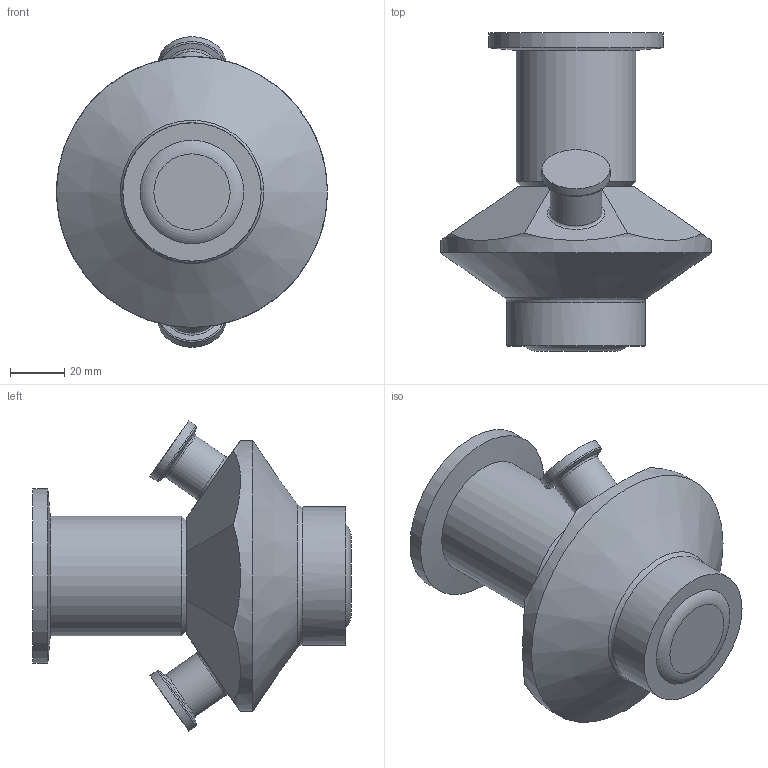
import cadquery as cq
import math

slope_angle = 35.0
slope_rise = math.tan(math.radians(slope_angle))

boss_radius = 50.8 / 2
cap_radius = 38.0 / 2
cap_flat_radius = 28.0 / 2
cap_height = 1.95
boss_fillet = 2.2

rim_radius = 99.5 / 2
rim_front = 34.2
rim_width = 4.5
facet_count = 8
facet_end_apothem = 21.6
cone_front = rim_front - (rim_radius - boss_radius) * slope_rise
rim_back = rim_front + rim_width
facet_end = rim_back + (rim_radius - facet_end_apothem) * slope_rise

pipe_radius = 44.0 / 2
pipe_chamfer = 2.0
flange_radius = 64.0 / 2
flange_face = 115.0
flange_rim_width = 5.5
flange_back_angle = 5.5
flange_back = flange_face - flange_rim_width
flange_root = flange_back - (flange_radius - pipe_radius) * math.tan(math.radians(flange_back_angle))

port_radius = 19.0 / 2
port_flange_radius = 25.0 / 2
port_length = 19.7
port_offset = 17.4
port_rim_width = 3.6
port_back_taper = 1.0
port_base_fillet = 1.0
port_rim_fillet = 0.6
port_root_fillet = 0.9
port_embed = 2.0


def circle_at(y):
    """Selector of the edges centred on the plane at y, square to the Y axis."""
    half_slab = 0.05
    return cq.selectors.BoxSelector(
        (-rim_radius, y - half_slab, -rim_radius),
        (rim_radius, y + half_slab, rim_radius),
    )


def make_front_cone_and_boss():
    """Domed cap, boss and front cone, revolved about the Y axis."""
    cap_run = cap_radius - cap_flat_radius
    dome_radius = (cap_run**2 + cap_height**2) / (2 * cap_height)
    profile = (
        cq.Workplane("XY")
        .moveTo(0, -cap_height)
        .lineTo(cap_flat_radius, -cap_height)
        .radiusArc((cap_radius, 0), -dome_radius)
        .lineTo(boss_radius, 0)
        .lineTo(boss_radius, cone_front)
        .lineTo(rim_radius, rim_front)
        .lineTo(0, rim_front)
        .close()
    )
    front = profile.revolve(360, (0, 0, 0), (0, 1, 0))
    return front.edges(circle_at(cone_front)).fillet(boss_fillet)


def make_faceted_back():
    """Octagonal pyramid trimmed by the rim cylinder, with facets facing X and Z."""
    height = facet_end - rim_front
    base_apothem = facet_end_apothem + height / slope_rise
    base_corner_radius = base_apothem / math.cos(math.pi / facet_count)
    half_facet = 180 / facet_count
    pyramid = (
        cq.Workplane("XZ", origin=(0, rim_front, 0))
        .transformed(rotate=(0, 0, half_facet))
        .polygon(facet_count, 2 * base_corner_radius)
        .extrude(-height, taper=90 - slope_angle)
    )
    rim = cq.Workplane("XZ", origin=(0, rim_front, 0)).circle(rim_radius).extrude(-height)
    return pyramid.intersect(rim)


def make_pipe_and_flange():
    """Main pipe, chamfered where it meets the body, with its taper-backed flange."""
    return (
        cq.Workplane("XY")
        .moveTo(0, facet_end)
        .lineTo(pipe_radius - pipe_chamfer, facet_end)
        .lineTo(pipe_radius, facet_end + pipe_chamfer)
        .lineTo(pipe_radius, flange_root)
        .lineTo(flange_radius, flange_back)
        .lineTo(flange_radius, flange_face)
        .lineTo(0, flange_face)
        .close()
        .revolve(360, (0, 0, 0), (0, 1, 0))
    )


def make_port():
    """Upper port: flanged stub with a flared base, square to the facet facing +Z."""
    port_rim_back = port_length - port_rim_width
    stub = (
        cq.Workplane("XY")
        .moveTo(0, -port_embed)
        .lineTo(port_radius + port_base_fillet, -port_embed)
        .lineTo(port_radius + port_base_fillet, 0)
        .radiusArc((port_radius, port_base_fillet), port_base_fillet)
        .lineTo(port_radius, port_rim_back - port_back_taper)
        .lineTo(port_flange_radius, port_rim_back)
        .lineTo(port_flange_radius, port_length)
        .lineTo(0, port_length)
        .close()
        .revolve(360, (0, 0, 0), (0, 1, 0))
    )
    stub = stub.edges(circle_at(port_rim_back)).fillet(port_rim_fillet)
    stub = stub.edges(circle_at(port_rim_back - port_back_taper)).fillet(port_root_fillet)
    slope = math.radians(slope_angle)
    foot_y = rim_back + port_offset * math.sin(slope)
    foot_z = rim_radius - port_offset * math.cos(slope)
    return stub.rotate((0, 0, 0), (1, 0, 0), slope_angle).translate((0, foot_y, foot_z))


upper_port = make_port()
lower_port = upper_port.mirror("XY")

result = (
    make_front_cone_and_boss()
    .union(make_faceted_back())
    .union(make_pipe_and_flange())
    .union(upper_port)
    .union(lower_port)
)